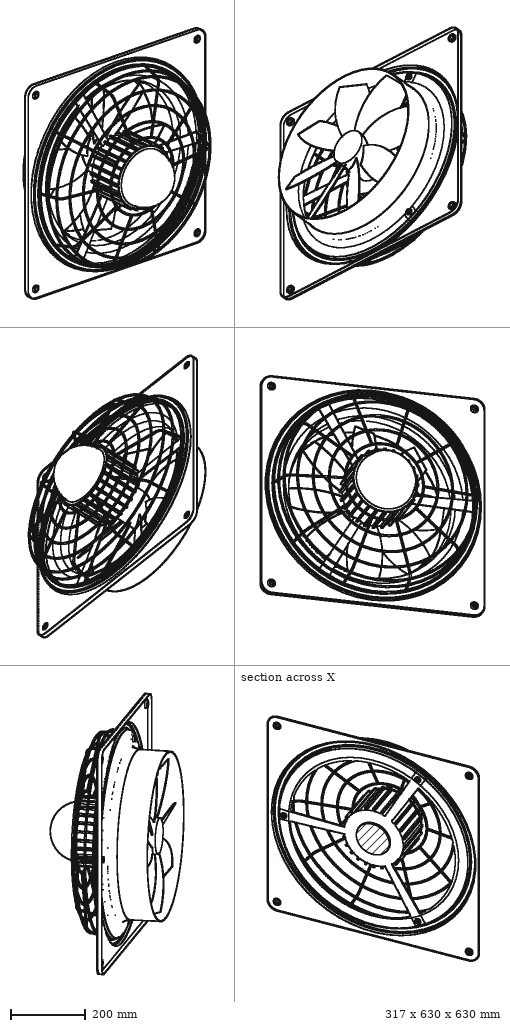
import cadquery as cq
import math


plate_side = 630.0
plate_corner_radius = 30.0
sheet = 2.5
rim_wall = 2.0
plate_front = 107.0
plate_depth = 14.0
plate_back = plate_front + plate_depth
sheet_front = plate_back - sheet

bead_inner_radius = 282.0
bead_outer_radius = 303.0
bead_height = 11.0
bead_wall = 2.0
bead_draft = 2.5
bead_edge = 3.0

duct_outer_radius = 230.5
duct_wall = 2.5
duct_length = 83.0
nozzle_start_radius = 232.0
nozzle_lip = 0.5
throat_radius = 237.5
throat_x = sheet_front - 12.0
mouth_radius = 256.0

mount_offset = 286.0
mount_hole_radius = 5.5
collar_radius = 11.0
collar_height = 6.0

motor_radius = 88.0
fin_radius = 95.0
root_radius = 82.0
fin_count = 24
fin_width = 5.0
fin_end = 232.5
cap_radius = 91.0
cap_end = 235.0
dome_radius = 82.0
motor_front = plate_back

strut_count = 3
strut_end_radius = 280.0
strut_inner_width = 22.5
strut_outer_width = 33.0
strut_thickness = 4.0
bolt_circle_radius = 266.0
bolt_head_radius = 8.0
bolt_head_height = 5.5
bolt_socket_radius = 4.0

hub_radius = 50.0
hub_front = 15.0
hub_dome = 2.5
blade_count = 8
blade_pitch = 30.0
blade_mid_x = 40.0
blade_thickness = 2.5
blade_root_radius = 46.5
blade_wide_radius = 138.5
blade_tip_radius = 222.0
blade_root_half = 24.0
blade_wide_half = 43.0
blade_tip_half = 32.0

wire_radius = 2.2
spoke_count = 10
spoke_start = (128.5, 286.0)
spoke_corner = (199.0, 267.0)
spoke_end = (223.0, 110.0)
spoke_bend = 12.5
side_ring_xs = (137.0, 162.0, 189.0)
face_ring_radii = (239.0, 196.5, 153.0, 110.0)
ring_overlap = 2.0


def disc(x_start, x_end, radius, y=0.0, z=0.0):
    """Cylinder along X between two stations."""
    return cq.Workplane("YZ", origin=(x_start, y, z)).circle(radius).extrude(x_end - x_start)


def revolve_x(profile):
    """Turn a closed (x, radius) profile about the fan axis."""
    return profile.close().revolve(360, (0, 0, 0), (1, 0, 0))


def around_axis(body, count):
    """Copies of a body spread evenly about the fan axis, starting with the body itself."""
    return [body.rotate((0, 0, 0), (1, 0, 0), i * 360.0 / count) for i in range(count)]


def join(body, parts):
    """Fuse many parts to a body in one step."""
    return cq.Workplane(body.val().fuse(*[part.val() for part in parts]))


def rounded_block(side, x_start, x_end, corner_radius):
    block = cq.Workplane("YZ", origin=(x_start, 0, 0)).rect(side, side).extrude(x_end - x_start)
    return block.edges("|X").fillet(corner_radius)


def make_plate():
    inner_side = plate_side - 2 * rim_wall
    tray = rounded_block(plate_side, plate_front, plate_back, plate_corner_radius)
    tray = tray.cut(rounded_block(inner_side, plate_front, sheet_front, plate_corner_radius - rim_wall))
    for y in (-mount_offset, mount_offset):
        for z in (-mount_offset, mount_offset):
            tray = tray.union(disc(sheet_front - collar_height, sheet_front, collar_radius, y, z))
            tray = tray.cut(disc(plate_front, plate_back, mount_hole_radius, y, z))
    return tray.cut(disc(plate_front, plate_back, mouth_radius))


def bead_channel(depth, spread):
    """Ring of tapered section with broken edges, for the outside and the hollow of the bead."""
    back = sheet_front + depth
    edge_x = back - bead_edge
    inner = bead_inner_radius - spread
    outer = bead_outer_radius + spread
    profile = (
        cq.Workplane("XY")
        .moveTo(sheet_front, inner)
        .lineTo(edge_x, inner + bead_draft)
        .lineTo(back, inner + bead_draft + bead_edge)
        .lineTo(back, outer - bead_draft - bead_edge)
        .lineTo(edge_x, outer - bead_draft)
        .lineTo(sheet_front, outer)
    )
    return revolve_x(profile)


def make_nozzle():
    """Straight duct and the flared mouth that joins it to the plate."""
    duct_inner = duct_outer_radius - duct_wall
    profile = (
        cq.Workplane("XY")
        .moveTo(0, duct_inner)
        .lineTo(0, duct_outer_radius)
        .lineTo(duct_length, duct_outer_radius)
        .lineTo(duct_length, nozzle_start_radius)
        .lineTo(duct_length + nozzle_lip, nozzle_start_radius)
        .tangentArcPoint((throat_x, throat_radius), relative=False)
        .tangentArcPoint((sheet_front, mouth_radius), relative=False)
        .lineTo(plate_back, mouth_radius)
        .lineTo(plate_back, mouth_radius - sheet)
        .lineTo(throat_x + sheet, throat_radius - duct_wall)
        .lineTo(duct_length, duct_inner)
    )
    return revolve_x(profile)


def make_motor():
    motor = disc(motor_front, fin_end, motor_radius)
    fin = (
        cq.Workplane("XY")
        .box(fin_end - motor_front, fin_width, fin_radius - root_radius, centered=(False, True, False))
        .translate((motor_front, 0, root_radius))
    )
    motor = join(motor, [disc(fin_end, cap_end, cap_radius), *around_axis(fin, fin_count)])
    dome = cq.Workplane("XY").moveTo(fin_end, 0).lineTo(fin_end, dome_radius).lineTo(cap_end, dome_radius)
    dome = dome.tangentArcPoint((cap_end + dome_radius, 0), relative=False)
    return motor.union(revolve_x(dome))


def make_strut():
    """One arm along +Y behind the plate, with its bolt head on the inlet side."""
    arm = (
        cq.Workplane("YZ", origin=(plate_back, 0, 0))
        .moveTo(root_radius, -strut_inner_width / 2)
        .lineTo(strut_end_radius, -strut_outer_width / 2)
        .lineTo(strut_end_radius, strut_outer_width / 2)
        .lineTo(root_radius, strut_inner_width / 2)
        .close()
        .extrude(strut_thickness)
    )
    head_front = sheet_front - bolt_head_height
    head = disc(head_front, sheet_front, bolt_head_radius, bolt_circle_radius)
    socket = disc(head_front, sheet_front, bolt_socket_radius, bolt_circle_radius)
    return arm.union(head.cut(socket))


def make_hub():
    profile = (
        cq.Workplane("XY")
        .moveTo(motor_front, 0)
        .lineTo(motor_front, hub_radius)
        .lineTo(hub_front + hub_dome, hub_radius)
        .lineTo(hub_front, 0)
    )
    return revolve_x(profile)


def make_blade():
    """Flat pitched blade pointing along +Z, its +Y edge leaning toward the inlet."""
    stretch = 1 / math.cos(math.radians(blade_pitch))
    root = blade_root_half * stretch
    wide = blade_wide_half * stretch
    tip = blade_tip_half * stretch
    blade = (
        cq.Workplane("YZ", origin=(-blade_thickness / 2, 0, 0))
        .moveTo(-root, blade_root_radius)
        .threePointArc((-wide, blade_wide_radius), (-tip, blade_tip_radius))
        .lineTo(tip, blade_tip_radius)
        .threePointArc((wide, blade_wide_radius), (root, blade_root_radius))
        .lineTo(0, 0)
        .close()
        .extrude(blade_thickness)
    )
    return blade.rotate((0, 0, 0), (0, 0, 1), blade_pitch).translate((blade_mid_x, 0, 0))


def point_toward(start, end, distance):
    """Point at a distance from start on the way to end."""
    share = distance / math.dist(start, end)
    return tuple(a + share * (b - a) for a, b in zip(start, end))


def line_at(start, end, index, value):
    """Point on the line start-end whose coordinate at index equals value."""
    share = (value - start[index]) / (end[index] - start[index])
    return tuple(a + share * (b - a) for a, b in zip(start, end))


def make_spoke():
    """Bent wire in the XY half plane, from the bead to the innermost ring."""
    bend_start = point_toward(spoke_corner, spoke_start, spoke_bend)
    bend_end = point_toward(spoke_corner, spoke_end, spoke_bend)
    path = (
        cq.Workplane("XY")
        .moveTo(*spoke_start)
        .lineTo(*bend_start)
        .tangentArcPoint(bend_end, relative=False)
        .lineTo(*spoke_end)
    )
    heading = (spoke_corner[0] - spoke_start[0], spoke_corner[1] - spoke_start[1], 0)
    section = cq.Plane(origin=(*spoke_start, 0), xDir=(0, 0, 1), normal=heading)
    return cq.Workplane(section).circle(wire_radius).sweep(path)


def make_ring(x, radius):
    profile = cq.Workplane("XY").center(x, radius).circle(wire_radius)
    return profile.revolve(360, (0, -radius, 0), (1, -radius, 0))


def make_rings():
    """Rings resting on the outside of the spokes."""
    rings = []
    for x in side_ring_xs:
        radius = line_at(spoke_start, spoke_corner, 0, x)[1]
        rings.append(make_ring(x, radius + ring_overlap))
    for radius in face_ring_radii:
        x = line_at(spoke_corner, spoke_end, 1, radius)[0]
        rings.append(make_ring(x + ring_overlap, radius))
    return rings


housing = make_plate().union(make_nozzle())
housing = housing.union(bead_channel(sheet + bead_height, bead_wall))
housing = housing.cut(bead_channel(bead_height, 0))
drive = join(make_motor(), [make_hub(), *around_axis(make_blade(), blade_count)])
struts = around_axis(make_strut(), strut_count)
guard = around_axis(make_spoke(), spoke_count) + make_rings()
result = join(housing, [drive, *struts, *guard])